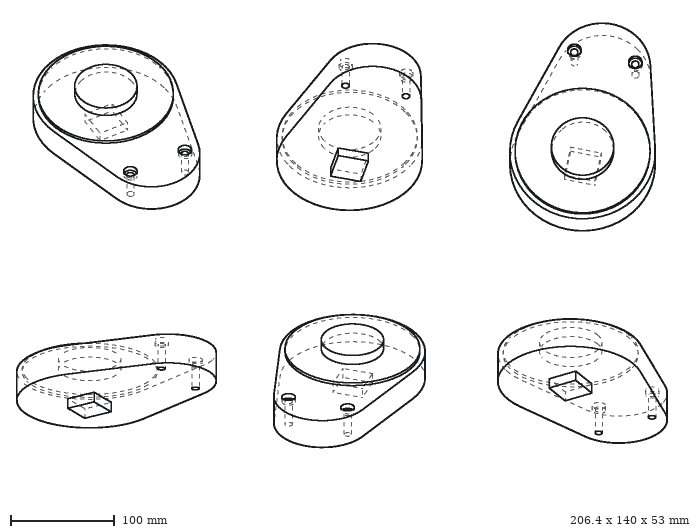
import cadquery as cq
import math

large_radius = 70.0
small_radius = 46.58
overall_length = 206.43
end_spacing = overall_length - large_radius - small_radius
body_height = 30.0

disc_radius = 65.0
disc_height = 3.0
boss_radius = 30.0
boss_height = 10.0

block_side = 30.0
block_height = 10.0

hole_x = 102.0
hole_offset_y = 30.0
hole_diameter = 7.0
counterbore_diameter = 13.0
counterbore_depth = 5.0


def make_body():
    """Two round ends joined by their common outer tangents."""
    sine = (large_radius - small_radius) / end_spacing
    cosine = math.sqrt(1 - sine**2)
    large_x = large_radius * sine
    large_y = large_radius * cosine
    small_x = end_spacing + small_radius * sine
    small_y = small_radius * cosine
    return (
        cq.Workplane("XY")
        .moveTo(large_x, large_y)
        .threePointArc((-large_radius, 0), (large_x, -large_y))
        .lineTo(small_x, -small_y)
        .threePointArc((end_spacing + small_radius, 0), (small_x, small_y))
        .close()
        .extrude(body_height)
    )


def add_top_steps(part):
    disc = cq.Workplane("XY").workplane(offset=body_height).circle(disc_radius).extrude(disc_height)
    boss_base = body_height + disc_height
    boss = cq.Workplane("XY").workplane(offset=boss_base).circle(boss_radius).extrude(boss_height)
    return part.union(disc).union(boss)


def add_drive_block(part):
    block = cq.Workplane("XY").rect(block_side, block_side).extrude(-block_height)
    return part.union(block)


def cut_screw_holes(part):
    return (
        part.copyWorkplane(cq.Workplane("XY", origin=(0, 0, body_height)))
        .pushPoints([(hole_x, -hole_offset_y), (hole_x, hole_offset_y)])
        .cboreHole(hole_diameter, counterbore_diameter, counterbore_depth)
    )


result = make_body()
result = add_top_steps(result)
result = add_drive_block(result)
result = cut_screw_holes(result)